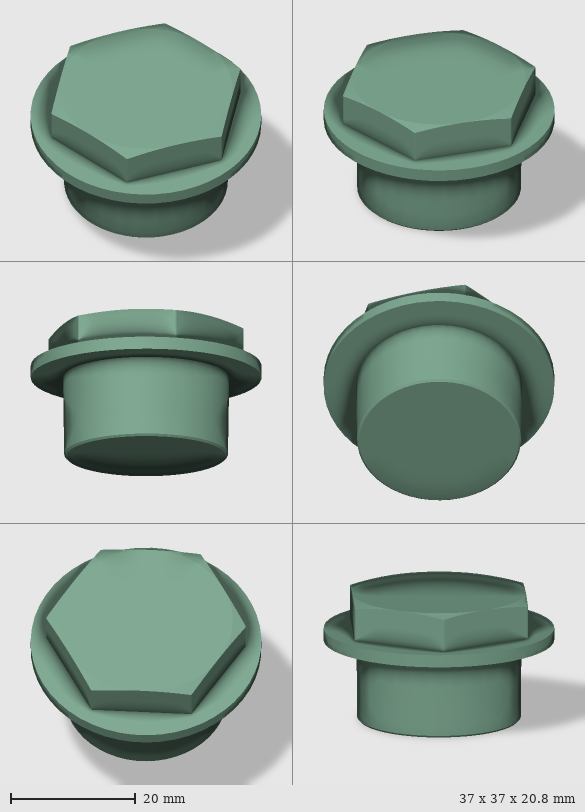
import cadquery as cq
import math

flange_diameter = 37.0
flange_thickness = 2.0
shank_length = 13.0
shank_top_diameter = 26.65
shank_bottom_diameter = 26.27
shank_chamfer = 0.35
hex_height = 5.8
hex_across_flats = 27.82
hex_corner_diameter = 32.0
hex_chamfer_angle = 15.0

flange_base = shank_length
hex_base = flange_base + flange_thickness
total_height = hex_base + hex_height


def revolve_profile(points):
    """Revolve a closed (radius, height) outline around the Z axis."""
    return cq.Workplane("XZ").polyline(points).close().revolve(360, (0, 0), (0, 1))


def make_shank():
    """Slightly tapered shank with a chamfered lower edge."""
    bottom_radius = shank_bottom_diameter / 2
    return revolve_profile([
        (0, 0),
        (bottom_radius - shank_chamfer, 0),
        (bottom_radius, shank_chamfer),
        (shank_top_diameter / 2, shank_length),
        (0, shank_length),
    ])


def make_flange():
    return (
        cq.Workplane("XY")
        .workplane(offset=flange_base)
        .circle(flange_diameter / 2)
        .extrude(flange_thickness)
    )


def make_hex_head():
    """Hexagon with corners on the Y axis, trimmed by a cone-topped cylinder."""
    sharp_corner_diameter = hex_across_flats / math.cos(math.radians(30))
    hexagon = (
        cq.Workplane("XY")
        .workplane(offset=hex_base)
        .transformed(rotate=(0, 0, 90))
        .polygon(6, sharp_corner_diameter)
        .extrude(hex_height)
    )
    top_radius = hex_across_flats / 2
    corner_radius = hex_corner_diameter / 2
    corner_drop = (corner_radius - top_radius) * math.tan(math.radians(hex_chamfer_angle))
    turned_envelope = revolve_profile([
        (0, hex_base),
        (corner_radius, hex_base),
        (corner_radius, total_height - corner_drop),
        (top_radius, total_height),
        (0, total_height),
    ])
    return hexagon.intersect(turned_envelope)


result = make_shank().union(make_flange()).union(make_hex_head())